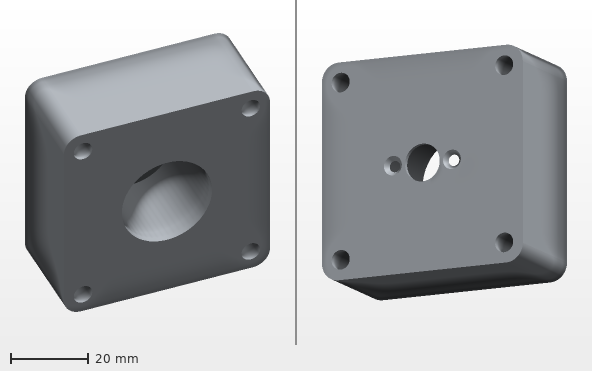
import cadquery as cq

depth = 26.25
side = 57.8
corner_radius = 4.8

wall = 1.3
cavity_diameter = 25.3
shaft_hole_diameter = 10.0

screw_hole_diameter = 3.0
countersink_diameter = 5.15
screw_spacing = 17.0

mount_hole_diameter = 5.2
mount_spacing = 47.05


def cylinder(diameter, x_start, length, y=0, z=0):
    """Cylinder along +X starting at x_start."""
    return cq.Workplane("YZ", origin=(x_start, y, z)).circle(diameter / 2).extrude(length)


def countersunk_hole(y):
    """Hole through the front wall, tapered over the whole wall thickness."""
    return (
        cq.Workplane("YZ", origin=(0, y, 0))
        .circle(countersink_diameter / 2)
        .workplane(offset=wall)
        .circle(screw_hole_diameter / 2)
        .loft(ruled=True)
    )


result = cq.Workplane("YZ").rect(side, side).extrude(depth).edges("|X").fillet(corner_radius)

result = result.cut(cylinder(cavity_diameter, wall, depth - wall))
result = result.cut(cylinder(shaft_hole_diameter, 0, wall))

for direction in (-1, 1):
    result = result.cut(countersunk_hole(direction * screw_spacing / 2))

for y_direction in (-1, 1):
    for z_direction in (-1, 1):
        y = y_direction * mount_spacing / 2
        z = z_direction * mount_spacing / 2
        result = result.cut(cylinder(mount_hole_diameter, 0, depth, y, z))